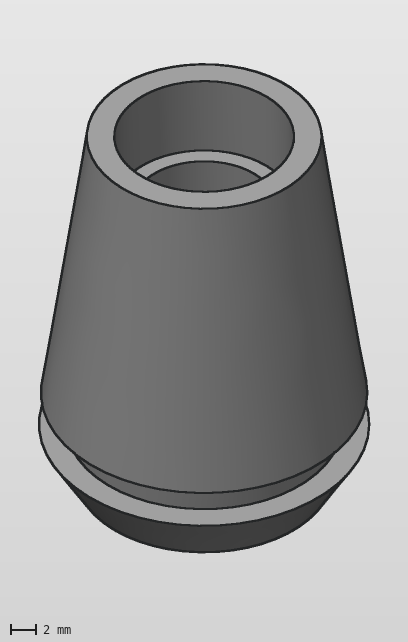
import cadquery as cq

height = 34.0
flange_height = 4.93
groove_width = 3.2
counterbore_depth = 7.0
body_base = flange_height + groove_width

bottom_diameter = 20.57
flange_diameter = 26.3
groove_diameter = 22.0
body_base_diameter = 26.0
top_diameter = 18.7

bore_diameter = 11.5
counterbore_diameter = 14.3


def make_collet_body():
    """Revolve the tapered flange, the groove and the long cone about Z."""
    half_profile = [
        (0, 0),
        (bottom_diameter / 2, 0),
        (flange_diameter / 2, flange_height),
        (groove_diameter / 2, flange_height),
        (groove_diameter / 2, body_base),
        (body_base_diameter / 2, body_base),
        (top_diameter / 2, height),
        (0, height),
    ]
    profile = cq.Workplane("XZ").polyline(half_profile).close()
    return profile.revolve(360, (0, 0, 0), (0, 1, 0))


result = (
    make_collet_body()
    .faces(">Z")
    .workplane()
    .cboreHole(bore_diameter, counterbore_diameter, counterbore_depth)
)